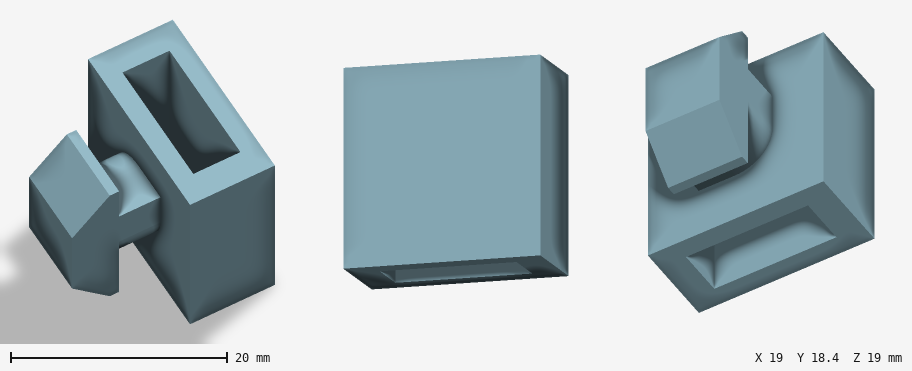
import cadquery as cq

body_width = 19.0
body_height = 19.0
body_depth = 9.0
slot_width = 13.2
slot_depth = 5.0

neck_width = 8.0
neck_length = 4.39
head_height = 2 * neck_width
head_depth = 5.0
head_chamfer = neck_width / 2
head_rim = head_depth - head_chamfer

body_front = -body_depth / 2
head_back = body_front - neck_length
head_front = head_back - head_depth


def make_sleeve():
    """Block with a rectangular opening right through its height."""
    block = cq.Workplane("XY").box(body_width, body_depth, body_height)
    opening = cq.Workplane("XY").box(slot_width, slot_depth, body_height)
    return block.cut(opening)


def make_neck():
    """Square bar with two diagonally opposite corners rounded, so the lock turns one way."""
    half = neck_width / 2
    disc = cq.Workplane("XZ", origin=(0, body_front, 0)).circle(half).extrude(neck_length)
    neck = disc
    for side in (-1, 1):
        square_corner = (
            cq.Workplane("XZ", origin=(side * half / 2, body_front, side * half / 2))
            .rect(half, half)
            .extrude(neck_length)
        )
        neck = neck.union(square_corner)
    return neck


def make_head():
    """Cross bar with its upper and lower front edges sloped at 45 degrees."""
    half_height = head_height / 2
    rim_front = head_back - head_rim
    nose_half_height = half_height - head_chamfer
    return (
        cq.Workplane("YZ")
        .polyline([
            (head_back, -half_height),
            (head_back, half_height),
            (rim_front, half_height),
            (head_front, nose_half_height),
            (head_front, -nose_half_height),
            (rim_front, -half_height),
        ])
        .close()
        .extrude(neck_width / 2, both=True)
    )


result = make_sleeve().union(make_neck()).union(make_head())